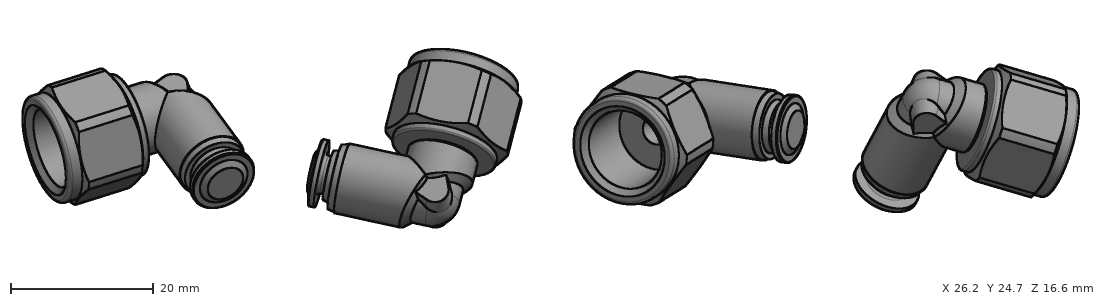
import cadquery as cq
import math


BODY_RADIUS = 5.01
ELBOW_RADIUS = 4.0
COLLAR_END = -6.85
COLLAR_EDGE_CHAMFER = 0.3
SHOULDER_SLOPE = 20.9
SHOULDER_LOW = -3.55
SHOULDER_RISE = 1.2
SHOULDER_INSET = 1.36

PAD_HALF_HEIGHT = 4.45
PAD_RADIUS = 1.9
PAD_CENTER_OFFSET = 0.58
PAD_SPREAD = 22.5
PAD_SIDE_LENGTH = 2.2
PAD_HEEL = 1.3
PAD_DRAFT = 16.0

BARREL_END = 12.97
BARREL_RIM_RADIUS = 4.9
CAP_END = 14.0
CAP_END_RADIUS = 4.67
SLEEVE_END = 14.94
SLEEVE_RADIUS = 3.83
SLEEVE_END_RADIUS = 3.57
RING_NECK_RADIUS = 2.75
RING_FLARE = 0.45
RING_BACK = 15.93
RING_RADIUS = 4.83
RING_FRONT = 16.83
RING_EDGE_CHAMFER = 0.15
NOSE_RADIUS = 3.7
NOSE_END_RADIUS = 2.75
PORT_END = 17.4

SWIVEL_NECK_RADIUS = 3.46
NUT_TOP = -7.0
NUT_TOP_RADIUS = 7.48
NUT_TOP_FILLET = 0.3
HEX_TOP = -8.03
NUT_BOTTOM = -19.7
NUT_BOTTOM_RADIUS = 7.88
NUT_BOTTOM_FILLET = 0.5
HEX_BOTTOM = -17.72
HEX_ACROSS_FLATS = 16.0
HEX_CORNER_RADIUS = 8.85
HEX_TURN = 4.6
HEX_CHAMFER = 30.0

BORE_RADIUS = 5.72
BORE_MOUTH_RADIUS = 6.62
BORE_FLOOR = -9.2
PASSAGE_RADIUS = 2.02


def y_cylinder(radius, start, end):
    """Cylinder on the Y axis between two Y stations."""
    return cq.Workplane("XZ", origin=(0, start, 0)).circle(radius).extrude(start - end)


def beveled_leg(far_end):
    """Cylinder down the Y axis whose upper end is a tilted plane with a bevel around it."""
    slope = math.radians(SHOULDER_SLOPE)
    low = SHOULDER_LOW + SHOULDER_RISE
    high = low + 2 * BODY_RADIUS * math.tan(slope)
    side = [(-BODY_RADIUS, far_end), (BODY_RADIUS, far_end), (BODY_RADIUS, high), (-BODY_RADIUS, low)]
    wedge = cq.Workplane("XY").polyline(side).close().extrude(BODY_RADIUS, both=True)
    leg = y_cylinder(BODY_RADIUS, high, far_end).intersect(wedge)
    return leg.faces(">Y").chamfer(SHOULDER_RISE, SHOULDER_INSET)


def onto_port_axis(leg):
    """Turn a leg lying along -Y half a turn about the elbow diagonal, so it lies along +X."""
    return leg.rotate((0, 0, 0), (-1, 1, 0), 180)


def bend():
    """Bare bend: a ball with a stub reaching into the collar and another into the barrel."""
    stub = y_cylinder(ELBOW_RADIUS, 0, -BODY_RADIUS)
    return cq.Workplane("XY").sphere(ELBOW_RADIUS).union(stub).union(onto_port_axis(stub))


def pad():
    """Drafted teardrop block through the bend; its narrow ends are the two flat pads."""
    spread = math.radians(PAD_SPREAD)
    offset = PAD_CENTER_OFFSET
    tangent = (-offset - PAD_RADIUS * math.cos(spread), offset - PAD_RADIUS * math.sin(spread))
    corner = (
        tangent[0] + PAD_SIDE_LENGTH * math.sin(spread),
        tangent[1] - PAD_SIDE_LENGTH * math.cos(spread),
    )
    arc_middle = (-offset - PAD_RADIUS * math.sqrt(0.5), offset + PAD_RADIUS * math.sqrt(0.5))
    half = (
        cq.Workplane("XY", origin=(0, 0, PAD_HALF_HEIGHT))
        .moveTo(*corner)
        .lineTo(*tangent)
        .threePointArc(arc_middle, (-tangent[1], -tangent[0]))
        .lineTo(-corner[1], -corner[0])
        .lineTo(PAD_HEEL, -PAD_HEEL)
        .close()
        .extrude(-PAD_HALF_HEIGHT, taper=-PAD_DRAFT)
    )
    return half.union(half.mirror("XY"))


def push_in_port():
    """Cap, sleeve and release ring, turned about the X axis."""
    flare_start = RING_BACK - RING_FLARE
    flare_middle = RING_FLARE * math.sqrt(0.5)
    return (
        cq.Workplane("XY")
        .moveTo(BARREL_END, 0)
        .lineTo(BARREL_END, BARREL_RIM_RADIUS)
        .lineTo(CAP_END, CAP_END_RADIUS)
        .lineTo(CAP_END, SLEEVE_RADIUS)
        .lineTo(SLEEVE_END, SLEEVE_END_RADIUS)
        .lineTo(SLEEVE_END, RING_NECK_RADIUS)
        .lineTo(flare_start, RING_NECK_RADIUS)
        .threePointArc(
            (flare_start + flare_middle, RING_NECK_RADIUS + RING_FLARE - flare_middle),
            (RING_BACK, RING_NECK_RADIUS + RING_FLARE),
        )
        .lineTo(RING_BACK, RING_RADIUS)
        .lineTo(RING_FRONT - RING_EDGE_CHAMFER, RING_RADIUS)
        .lineTo(RING_FRONT, RING_RADIUS - RING_EDGE_CHAMFER)
        .lineTo(RING_FRONT, NOSE_RADIUS)
        .lineTo(PORT_END, NOSE_END_RADIUS)
        .lineTo(PORT_END, 0)
        .close()
        .revolve(360, (0, 0, 0), (1, 0, 0))
    )


def hex_section():
    """Hexagon with its corners turned down and both ends chamfered by cones."""
    across_corners = HEX_ACROSS_FLATS / math.cos(math.radians(30))
    prism = (
        cq.Workplane("XZ", origin=(0, HEX_TOP, 0))
        .polygon(6, across_corners)
        .extrude(HEX_TOP - HEX_BOTTOM)
        .rotate((0, 0, 0), (0, 1, 0), HEX_TURN)
    )
    slope = math.tan(math.radians(HEX_CHAMFER))
    top_drop = (HEX_CORNER_RADIUS - NUT_TOP_RADIUS) * slope
    bottom_drop = (HEX_CORNER_RADIUS - NUT_BOTTOM_RADIUS) * slope
    blank = (
        cq.Workplane("XY")
        .moveTo(0, HEX_TOP)
        .lineTo(NUT_TOP_RADIUS, HEX_TOP)
        .lineTo(HEX_CORNER_RADIUS, HEX_TOP - top_drop)
        .lineTo(HEX_CORNER_RADIUS, HEX_BOTTOM + bottom_drop)
        .lineTo(NUT_BOTTOM_RADIUS, HEX_BOTTOM)
        .lineTo(0, HEX_BOTTOM)
        .close()
        .revolve(360, (0, 0, 0), (0, 1, 0))
    )
    return prism.intersect(blank)


def nut():
    """Hexagon between two round collars, bored from below with a chamfered mouth."""
    top = y_cylinder(NUT_TOP_RADIUS, NUT_TOP, HEX_TOP)
    top = top.faces(">Y").edges().fillet(NUT_TOP_FILLET)
    bottom = y_cylinder(NUT_BOTTOM_RADIUS, HEX_BOTTOM, NUT_BOTTOM)
    bottom = bottom.faces("<Y").edges().fillet(NUT_BOTTOM_FILLET)
    neck = y_cylinder(SWIVEL_NECK_RADIUS, COLLAR_END, NUT_TOP)
    bore = y_cylinder(BORE_RADIUS, BORE_FLOOR, NUT_BOTTOM)
    mouth_chamfer = BORE_MOUTH_RADIUS - BORE_RADIUS
    body = hex_section().union(top).union(bottom).union(neck).cut(bore)
    mouth_edge = body.faces("<Y").edges(cq.selectors.RadiusNthSelector(0))
    return mouth_edge.chamfer(mouth_chamfer)


collar = beveled_leg(COLLAR_END).faces("<Y").edges().chamfer(COLLAR_EDGE_CHAMFER)
barrel = onto_port_axis(beveled_leg(-BARREL_END))
elbow = bend().union(pad()).union(collar).union(barrel)
passage = y_cylinder(PASSAGE_RADIUS, 0, BORE_FLOOR)

result = elbow.union(push_in_port()).union(nut()).cut(passage)